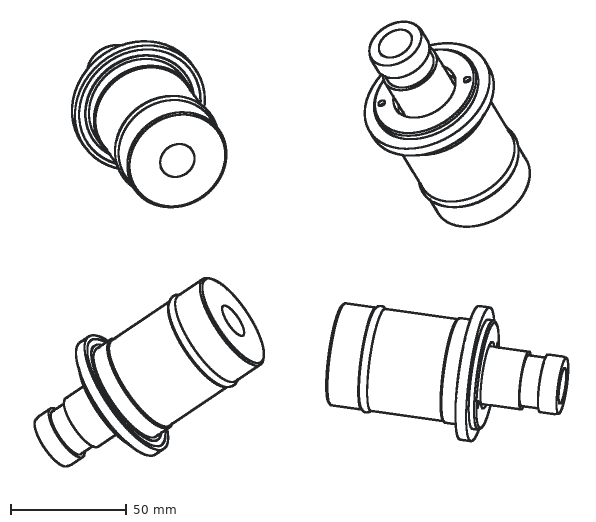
import cadquery as cq
import math

total_length = 100.2
stem_groove_start = 8.2
stem_groove_end = 16.6
lip_face = 33.2
flange_front = 36.4
flange_back = 41.2
collar_end = 48.7
ring_groove_center = 83.8

stem_diameter = 25.36
stem_groove_diameter = 22.35
lip_diameter = 48.0
flange_diameter = 58.7
collar_diameter = 46.0
barrel_diameter = 44.8
bore_diameter = 15.5

stem_lead_length = 1.7
stem_lead_angle = 15.0
stem_lead_depth = stem_lead_length * math.tan(math.radians(stem_lead_angle))
lip_chamfer = 0.85
collar_chamfer_length = (collar_diameter - barrel_diameter) / 2
barrel_chamfer = 0.8

recess_diameter = 29.2
recess_depth = 6.0

spanner_hole_diameter = 3.0
spanner_hole_offset = 20.0
spanner_hole_depth = 2.0
drill_point_angle = 118.0

barrel_ring_section = 3.5
ring_groove_width = 4.0
ring_groove_diameter = 39.8

face_groove_inner_diameter = 49.1
face_groove_outer_diameter = 54.9
face_ring_section = (face_groove_outer_diameter - face_groove_inner_diameter) / 2
face_ring_center_diameter = (face_groove_outer_diameter + face_groove_inner_diameter) / 2
face_ring_protrusion = 0.6
face_groove_depth = face_ring_section - face_ring_protrusion


def tube(start, end, outer_diameter, inner_diameter):
    """Ring-shaped cylinder around the X axis between two stations."""
    return (
        cq.Workplane("YZ", origin=(start, 0, 0))
        .circle(outer_diameter / 2)
        .circle(inner_diameter / 2)
        .extrude(end - start)
    )


def o_ring(center_station, center_diameter, section_diameter):
    """Torus around the X axis."""
    return (
        cq.Workplane("XY")
        .center(center_station, center_diameter / 2)
        .circle(section_diameter / 2)
        .revolve(360, (0, -center_diameter / 2), (1, -center_diameter / 2))
    )


def turned_blank():
    """Stem, lip, flange, collar and barrel with the through bore, revolved about X."""
    stem_radius = stem_diameter / 2
    stem_groove_radius = stem_groove_diameter / 2
    lip_radius = lip_diameter / 2
    flange_radius = flange_diameter / 2
    collar_radius = collar_diameter / 2
    barrel_radius = barrel_diameter / 2
    bore_radius = bore_diameter / 2
    profile = [
        (0, bore_radius),
        (0, stem_radius - stem_lead_depth),
        (stem_lead_length, stem_radius),
        (stem_groove_start, stem_radius),
        (stem_groove_start, stem_groove_radius),
        (stem_groove_end, stem_groove_radius),
        (stem_groove_end, stem_radius),
        (lip_face, stem_radius),
        (lip_face, lip_radius - lip_chamfer),
        (lip_face + lip_chamfer, lip_radius),
        (flange_front, lip_radius),
        (flange_front, flange_radius),
        (flange_back, flange_radius),
        (flange_back, collar_radius),
        (collar_end, collar_radius),
        (collar_end + collar_chamfer_length, barrel_radius),
        (total_length - barrel_chamfer, barrel_radius),
        (total_length, barrel_radius - barrel_chamfer),
        (total_length, bore_radius),
    ]
    return cq.Workplane("XY").polyline(profile).close().revolve(360, (0, 0), (1, 0))


def spanner_hole(y):
    """Drilled pocket with a conical bottom, entering the lip face."""
    radius = spanner_hole_diameter / 2
    point_length = radius / math.tan(math.radians(drill_point_angle / 2))
    hole_bottom = lip_face + spanner_hole_depth
    return (
        cq.Workplane("XY")
        .polyline([
            (lip_face, y),
            (lip_face, y + radius),
            (hole_bottom, y + radius),
            (hole_bottom + point_length, y),
        ])
        .close()
        .revolve(360, (0, y), (1, y))
    )


stem_recess = tube(lip_face, lip_face + recess_depth, recess_diameter, stem_diameter)
barrel_groove = tube(
    ring_groove_center - ring_groove_width / 2,
    ring_groove_center + ring_groove_width / 2,
    flange_diameter,
    ring_groove_diameter,
)
face_groove = tube(
    flange_back - face_groove_depth,
    flange_back,
    face_groove_outer_diameter,
    face_groove_inner_diameter,
)
housing = turned_blank().cut(stem_recess).cut(barrel_groove).cut(face_groove)
for side in (-1, 1):
    housing = housing.cut(spanner_hole(side * spanner_hole_offset))

barrel_ring = o_ring(
    ring_groove_center,
    ring_groove_diameter + barrel_ring_section,
    barrel_ring_section,
)

face_ring = o_ring(
    flange_back + face_ring_protrusion - face_ring_section / 2,
    face_ring_center_diameter,
    face_ring_section,
)

result = cq.Compound.makeCompound([housing.val(), barrel_ring.val(), face_ring.val()])